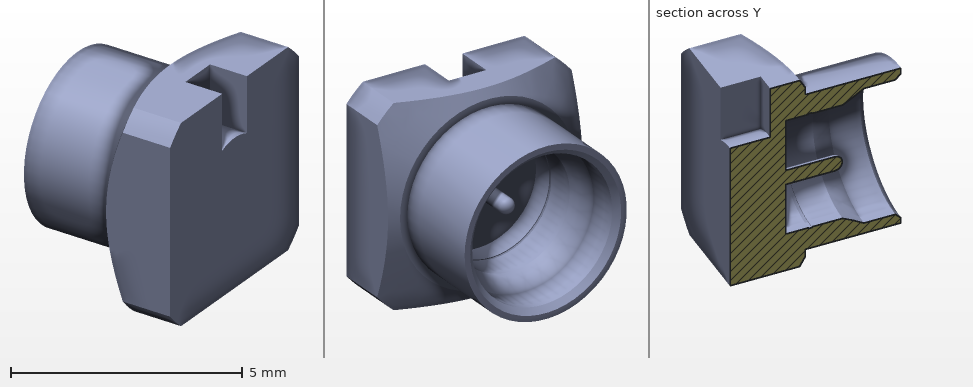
import cadquery as cq

length = 4.09
flange_width = 5.0
flange_corner_radius = 3.25
barrel_radius = 2.085
barrel_length = 2.29

cone_start_radius = 2.275
cone_depth = 0.565

mouth_radius = 1.94
socket_radius = 1.8
mouth_chamfer = mouth_radius - socket_radius
taper_start = 0.89
taper_end = 1.4
bore_radius = 1.515
bore_depth = 2.75

groove_start = 2.135
groove_width = 0.08
groove_depth = 0.02
groove_radius = bore_radius + groove_depth

pin_radius = 0.195
pin_tip = 1.4

slot_width = 0.96
slot_length = 0.96
core_radius = 1.2


def revolve_about_x(profile):
    return profile.close().revolve(360, (0, 0, 0), (1, 0, 0))


def make_body():
    cone_end = barrel_length + cone_depth
    turned = revolve_about_x(
        cq.Workplane("XY")
        .moveTo(0, 0)
        .lineTo(0, barrel_radius)
        .lineTo(barrel_length, barrel_radius)
        .lineTo(barrel_length, cone_start_radius)
        .lineTo(cone_end, flange_corner_radius)
        .lineTo(length, flange_corner_radius)
        .lineTo(length, 0)
    )
    square = cq.Workplane("YZ").rect(flange_width, flange_width).extrude(length)
    return turned.intersect(square)


def make_socket():
    return revolve_about_x(
        cq.Workplane("XY")
        .moveTo(0, 0)
        .lineTo(0, mouth_radius)
        .lineTo(mouth_chamfer, socket_radius)
        .lineTo(taper_start, socket_radius)
        .lineTo(taper_end, bore_radius)
        .lineTo(groove_start, bore_radius)
        .lineTo(groove_start, groove_radius)
        .lineTo(groove_start + groove_width, groove_radius)
        .lineTo(groove_start + groove_width, bore_radius)
        .lineTo(bore_depth, bore_radius)
        .lineTo(bore_depth, 0)
    )


def make_pin():
    shank_start = pin_tip + pin_radius
    shank_length = bore_depth - shank_start
    shank = cq.Workplane("YZ", origin=(shank_start, 0, 0)).circle(pin_radius).extrude(shank_length)
    tip = cq.Workplane("XY").sphere(pin_radius).translate((shank_start, 0, 0))
    return shank.union(tip)


def make_slot():
    slot_start = length - slot_length
    block = cq.Workplane("XY", origin=(slot_start, 0, 0)).box(
        slot_length, slot_width, flange_width / 2, centered=(False, True, False)
    )
    core = cq.Workplane("YZ", origin=(slot_start, 0, 0)).circle(core_radius).extrude(slot_length)
    return block.cut(core)


result = make_body().cut(make_socket()).union(make_pin()).cut(make_slot())